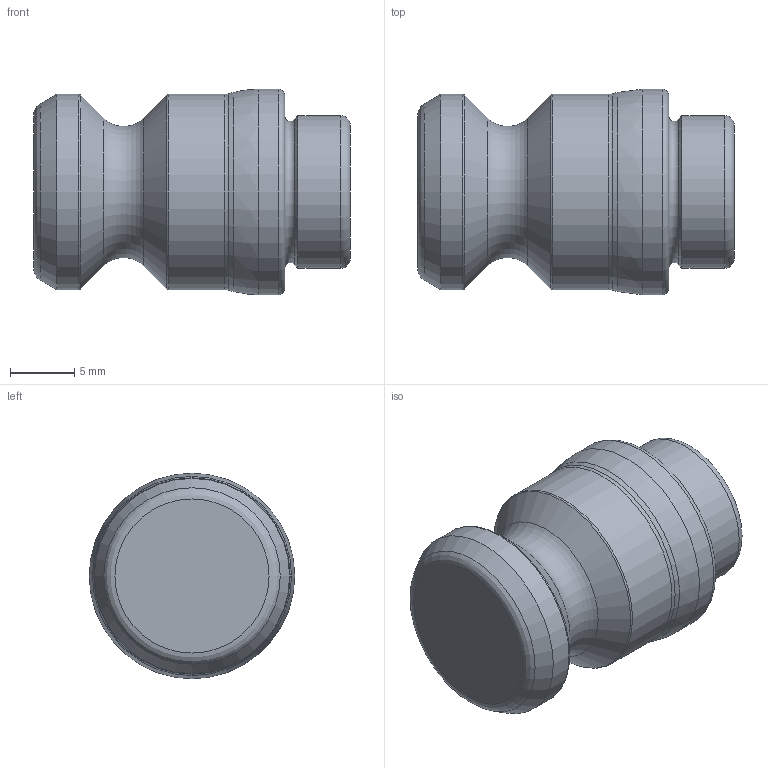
import cadquery as cq
import math

LENGTH = 24.64
BODY_RADIUS = 7.6

NOSE_FACE_RADIUS = 6.0
NOSE_BLEND = 1.0
NOSE_ANGLE = 30.0

WAIST_X = 7.0
WAIST_RADIUS = 5.1
WAIST_FLOOR_ROUND = 2.2
WAIST_ANGLE = 45.0
WAIST_EDGE_ROUND = 0.2

COLLAR_RADIUS = 8.0
COLLAR_CREST_X = 17.47
COLLAR_RAMP_ANGLE = 15.0
COLLAR_CREST_ROUND = 7.5
COLLAR_FOOT_ROUND = 1.2
COLLAR_REAR_X = 19.54
COLLAR_REAR_ROUND = 0.5

SPIGOT_RADIUS = 5.95
SPIGOT_END_ROUND = 0.75
RELIEF_RADIUS = 5.5
RELIEF_ROUND = 0.44
RELIEF_ANGLE = 50.0


def on_circle(center, radius, degrees):
    """Point on a circle, with the angle measured from +X towards larger radii."""
    angle = math.radians(degrees)
    return (center[0] + radius * math.cos(angle), center[1] + radius * math.sin(angle))


def add_line_and_arc(outline, center, radius, start, end):
    """Draw a line to the start of an arc, then follow the arc; angles are in degrees."""
    middle = on_circle(center, radius, (start + end) / 2)
    outline = outline.lineTo(*on_circle(center, radius, start))
    return outline.threePointArc(middle, on_circle(center, radius, end))


def add_nose(outline):
    """Rounded face edge followed by the cone up to the head cylinder."""
    center = (NOSE_BLEND, NOSE_FACE_RADIUS)
    cone_normal = 90 + NOSE_ANGLE
    outline = add_line_and_arc(outline, center, NOSE_BLEND, 180, cone_normal)
    cone_start = on_circle(center, NOSE_BLEND, cone_normal)
    cone_length = (BODY_RADIUS - cone_start[1]) / math.tan(math.radians(NOSE_ANGLE))
    return outline.lineTo(cone_start[0] + cone_length, BODY_RADIUS)


def add_waist(outline):
    """Symmetric V groove with a round floor and lightly rounded outer edges."""
    angle = math.radians(WAIST_ANGLE)
    floor_center = (WAIST_X, WAIST_RADIUS + WAIST_FLOOR_ROUND)
    flank_foot = on_circle(floor_center, WAIST_FLOOR_ROUND, WAIST_ANGLE - 90)
    flank_length = (BODY_RADIUS - flank_foot[1]) / math.tan(angle)
    half_width = flank_foot[0] - WAIST_X + flank_length
    edge_offset = half_width + WAIST_EDGE_ROUND * math.tan(angle / 2)
    edge_radius = BODY_RADIUS - WAIST_EDGE_ROUND
    front_edge = (WAIST_X - edge_offset, edge_radius)
    rear_edge = (WAIST_X + edge_offset, edge_radius)

    outline = add_line_and_arc(outline, front_edge, WAIST_EDGE_ROUND, 90, 90 - WAIST_ANGLE)
    outline = add_line_and_arc(
        outline, floor_center, WAIST_FLOOR_ROUND, -90 - WAIST_ANGLE, WAIST_ANGLE - 90
    )
    return add_line_and_arc(outline, rear_edge, WAIST_EDGE_ROUND, 90 + WAIST_ANGLE, 90)


def add_collar(outline):
    """Ramp with rounded foot and crest, cylinder, and rounded rear edge."""
    angle = math.radians(COLLAR_RAMP_ANGLE)
    crest_normal = 90 + COLLAR_RAMP_ANGLE
    crest_center = (COLLAR_CREST_X, COLLAR_RADIUS - COLLAR_CREST_ROUND)
    ramp_end = on_circle(crest_center, COLLAR_CREST_ROUND, crest_normal)
    foot_height = COLLAR_FOOT_ROUND * (1 - math.cos(angle))
    ramp_height = ramp_end[1] - BODY_RADIUS - foot_height
    ramp_start_x = ramp_end[0] - ramp_height / math.tan(angle)
    foot_x = ramp_start_x - COLLAR_FOOT_ROUND * math.sin(angle)
    foot_center = (foot_x, BODY_RADIUS + COLLAR_FOOT_ROUND)
    rear_center = (COLLAR_REAR_X - COLLAR_REAR_ROUND, COLLAR_RADIUS - COLLAR_REAR_ROUND)

    outline = add_line_and_arc(outline, foot_center, COLLAR_FOOT_ROUND, -90, COLLAR_RAMP_ANGLE - 90)
    outline = add_line_and_arc(outline, crest_center, COLLAR_CREST_ROUND, crest_normal, 90)
    return add_line_and_arc(outline, rear_center, COLLAR_REAR_ROUND, 90, 0)


def add_spigot(outline):
    """Relief groove with a sloping exit, then the spigot with a rounded end."""
    relief_center = (COLLAR_REAR_X + RELIEF_ROUND, RELIEF_RADIUS + RELIEF_ROUND)
    slope_normal = RELIEF_ANGLE - 90
    slope_foot = on_circle(relief_center, RELIEF_ROUND, slope_normal)
    slope_length = (SPIGOT_RADIUS - slope_foot[1]) / math.tan(math.radians(RELIEF_ANGLE))
    end_center = (LENGTH - SPIGOT_END_ROUND, SPIGOT_RADIUS - SPIGOT_END_ROUND)

    outline = add_line_and_arc(outline, relief_center, RELIEF_ROUND, -180, slope_normal)
    outline = outline.lineTo(slope_foot[0] + slope_length, SPIGOT_RADIUS)
    return add_line_and_arc(outline, end_center, SPIGOT_END_ROUND, 90, 0)


profile = cq.Workplane("XZ").moveTo(0, 0)
profile = add_nose(profile)
profile = add_waist(profile)
profile = add_collar(profile)
profile = add_spigot(profile)
profile = profile.lineTo(LENGTH, 0).close()

AXIS_START = (0, 0, 0)
AXIS_END = (1, 0, 0)
result = profile.revolve(360, AXIS_START, AXIS_END)